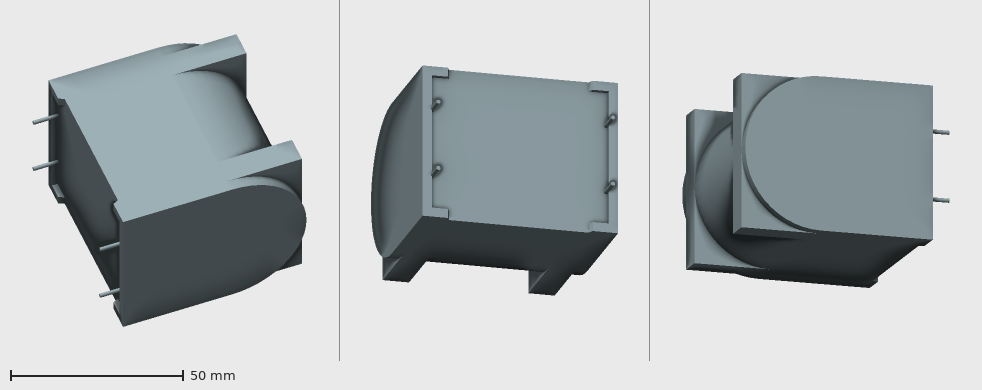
import cadquery as cq

width = 58.7
overall_length = 63.2
height = 46.2
lead_length = 6.0
half_width = width / 2
half_height = height / 2
back_y = overall_length / 2
lead_tip_y = -overall_length / 2
front_y = lead_tip_y + lead_length

barrel_axis_y = back_y - half_height
end_disc_width = 3.55
flange_width = 7.9

rim_width = 2.8
recess_depth = 1.7
recess_floor_y = front_y + recess_depth
lug_length = 7.6
lug_slope = 0.8

wire_diameter = 1.2
lead_spacing_x = 52.45
lead_spacing_z = 20.35
bridge_depth = 3.15
bend_radius = 1.25
bridge_y = recess_floor_y + bridge_depth


def make_block():
    """Case body with its half-round back."""
    return (
        cq.Workplane("YZ", origin=(-half_width, 0, 0))
        .moveTo(front_y, -half_height)
        .lineTo(barrel_axis_y, -half_height)
        .threePointArc((back_y, 0), (barrel_axis_y, half_height))
        .lineTo(front_y, half_height)
        .close()
        .extrude(width)
    )


def make_flange(side):
    """Square-cornered plate beside the end disc, side = -1 or +1 along X."""
    center_x = side * (half_width - end_disc_width - flange_width / 2)
    center_y = (barrel_axis_y + back_y) / 2
    return cq.Workplane("XY").box(flange_width, half_height, height).translate((center_x, center_y, 0))


def make_lug_gap():
    """Full-height gap between the left and right lugs, with sloped ends."""
    mouth_x = half_width - lug_length
    floor_x = mouth_x - lug_slope
    return (
        cq.Workplane("XY", origin=(0, 0, -half_height))
        .polyline([
            (-mouth_x, front_y),
            (mouth_x, front_y),
            (floor_x, recess_floor_y),
            (-floor_x, recess_floor_y),
        ])
        .close()
        .extrude(height)
    )


def make_recess():
    """Rectangular recess inside the rims and lugs."""
    return (
        cq.Workplane("XZ", origin=(0, recess_floor_y, 0))
        .rect(width - 2 * rim_width, height - 2 * rim_width)
        .extrude(recess_depth)
    )


def make_lead_wire(side):
    """U-shaped round wire with both legs pointing to -Y, side = -1 or +1 along X."""
    center_x = side * lead_spacing_x / 2
    leg_z = lead_spacing_z / 2
    path = (
        cq.Workplane("YZ", origin=(center_x, 0, 0))
        .moveTo(lead_tip_y, -leg_z)
        .lineTo(bridge_y - bend_radius, -leg_z)
        .tangentArcPoint((bridge_y, -leg_z + bend_radius), relative=False)
        .lineTo(bridge_y, leg_z - bend_radius)
        .tangentArcPoint((bridge_y - bend_radius, leg_z), relative=False)
        .lineTo(lead_tip_y, leg_z)
    )
    section = cq.Workplane("XZ", origin=(center_x, lead_tip_y, -leg_z)).circle(wire_diameter / 2)
    return section.sweep(path)


def make_case(wires):
    """Complete case, with a matching channel for every wire."""
    body = make_block()
    for side in (-1, 1):
        body = body.union(make_flange(side))
    body = body.cut(make_lug_gap()).cut(make_recess())
    for wire in wires:
        body = body.cut(wire)
    return body


lead_wires = [make_lead_wire(side) for side in (-1, 1)]
case = make_case(lead_wires)

result = cq.Compound.makeCompound([case.solids().val(), *[wire.val() for wire in lead_wires]])